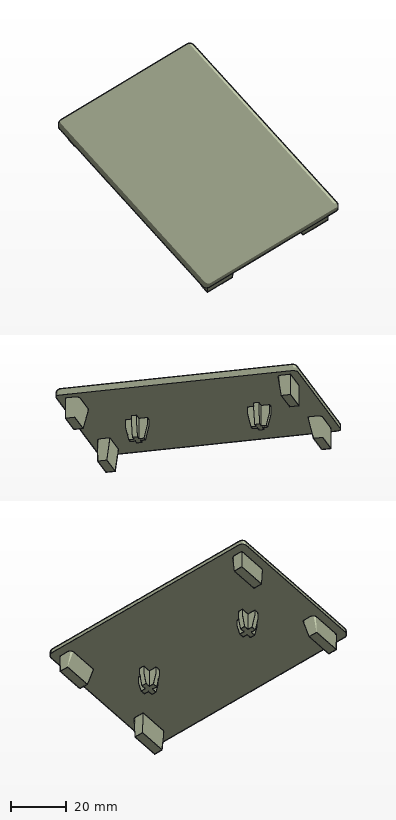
import cadquery as cq

length = 90.0
width = 60.0
height = 11.0
plate_thickness = 3.15
edge_radius = 2.0
leg_height = height - plate_thickness

foot_inset = 3.15
foot_x = 3.4
foot_y = 11.2
foot_flare = 1.6
tip_radius = 0.045

peg_spacing = 45.45
peg_span = 8.2
peg_tip_span = 5.7
peg_rib = 1.9
peg_straight = 2.8


def make_plate():
    """Plate with rounded corners and a rounded upper rim; its underside is at Z = 0."""
    plate = cq.Workplane("XY").box(length, width, plate_thickness, centered=(True, True, False))
    return plate.edges("|Z").fillet(edge_radius).faces(">Z").edges().fillet(edge_radius)


def foot_outline(sketch, flare):
    """Rectangle grown inwards by flare, rounded where it meets the two outer faces."""
    x_end = foot_x + flare
    y_end = foot_y + flare
    return (
        sketch.moveTo(0, 0)
        .lineTo(foot_x, 0)
        .radiusArc((x_end, flare), -flare)
        .lineTo(x_end, y_end)
        .lineTo(flare, y_end)
        .radiusArc((0, foot_y), -flare)
        .close()
    )


def make_foot():
    """Foot of the -X, -Y corner."""
    tip = foot_outline(cq.Workplane("XY").workplane(offset=-leg_height), tip_radius)
    foot = foot_outline(tip.workplane(offset=leg_height), foot_flare).loft(ruled=True)
    return foot.translate((foot_inset - length / 2, foot_inset - width / 2, 0))


def make_peg():
    """Two crossed ribs, straight near the plate and tapered towards the tip."""
    half_span = peg_span / 2
    half_tip = peg_tip_span / 2
    profile = [
        (-half_span, 0),
        (half_span, 0),
        (half_span, -peg_straight),
        (half_tip, -leg_height),
        (-half_tip, -leg_height),
        (-half_span, -peg_straight),
    ]
    rib = cq.Workplane("XZ").polyline(profile).close().extrude(peg_rib / 2, both=True)
    return rib.union(rib.rotate((0, 0, 0), (0, 0, 1), 90))


result = make_plate()

foot = make_foot()
foot_pair = foot.union(foot.mirror("YZ"))
result = result.union(foot_pair).union(foot_pair.mirror("XZ"))

for side in (-1, 1):
    result = result.union(make_peg().translate((side * peg_spacing / 2, 0, 0)))